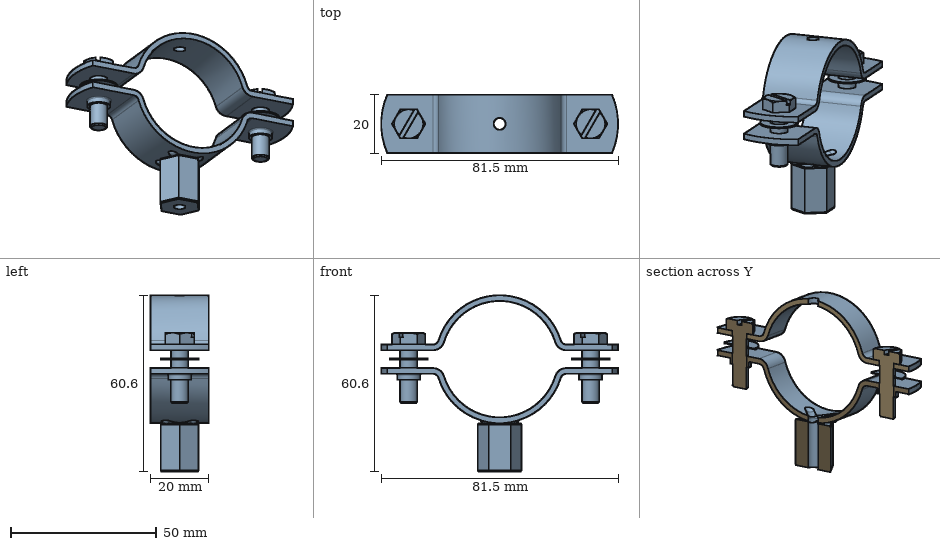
import cadquery as cq
import math


total_length = 81.5
strap_width = 20.0
strap_thickness = 2.0
ring_outer_radius = 22.0
ring_inner_radius = ring_outer_radius - strap_thickness
ear_gap = 6.0
ear_inner_z = ear_gap / 2
ear_outer_z = ear_inner_z + strap_thickness
ear_tip_radius = 25.0
bend_small_radius = 2.0
bend_large_radius = bend_small_radius + strap_thickness
center_hole_diameter = 4.0

collar_diameter = 8.0
collar_height = 2.0
collar_root_fillet = 0.3

emboss_arm_length = 6.8
emboss_width = 3.1
emboss_depth = 0.8
emboss_radius = ((emboss_width / 2) ** 2 + emboss_depth**2) / (2 * emboss_depth)
emboss_arm_angles = (45, 135, 225, 315)

bolt_spacing = 62.5
shank_diameter = 6.0
shank_tip_z = -15.1
shank_tip_chamfer = 0.5
head_height = 4.0
head_across_flats = 9.9
head_chamfer_angle = 30.0
screw_slot_width = 1.55
screw_slot_depth = 1.5
screw_slot_angle = 60.0

washer_diameter = 13.0
washer_thickness = 0.5

nut_across_flats = 13.0
nut_height = 16.6
nut_chamfer_height = 0.5
nut_chamfer_inset = 0.25

bolt_positions = (-bolt_spacing / 2, bolt_spacing / 2)


def hexagon_diameter(across_flats):
    """Corner-to-corner size of a hexagon with the given width across flats."""
    return across_flats / math.cos(math.radians(30))


def cylinder(diameter, bottom_z, top_z, x=0):
    """Upright cylinder centered at position x on the X axis."""
    return cq.Workplane("XY", origin=(x, 0, bottom_z)).circle(diameter / 2).extrude(top_z - bottom_z)


def strap_profile():
    """Outline of the upper half clamp: half ring, reverse bends and flat ears."""
    bend_center_z = ear_outer_z + bend_small_radius
    bend_center_distance = ring_outer_radius + bend_small_radius
    bend_center_x = math.sqrt(bend_center_distance**2 - bend_center_z**2)
    joint_angle = math.atan2(bend_center_z, bend_center_x)
    bend_middle_angle = (joint_angle + math.pi / 2) / 2
    tip_x = total_length / 2

    def on_ring(radius):
        return radius * math.cos(joint_angle), radius * math.sin(joint_angle)

    def on_bend(radius):
        return (
            bend_center_x - radius * math.cos(bend_middle_angle),
            bend_center_z - radius * math.sin(bend_middle_angle),
        )

    def mirrored(point):
        return -point[0], point[1]

    outer_joint = on_ring(ring_outer_radius)
    inner_joint = on_ring(ring_inner_radius)
    outer_bend = on_bend(bend_small_radius)
    inner_bend = on_bend(bend_large_radius)

    return (
        cq.Workplane("XZ")
        .moveTo(-tip_x, ear_outer_z)
        .lineTo(-bend_center_x, ear_outer_z)
        .threePointArc(mirrored(outer_bend), mirrored(outer_joint))
        .threePointArc((0, ring_outer_radius), outer_joint)
        .threePointArc(outer_bend, (bend_center_x, ear_outer_z))
        .lineTo(tip_x, ear_outer_z)
        .lineTo(tip_x, ear_inner_z)
        .lineTo(bend_center_x, ear_inner_z)
        .threePointArc(inner_bend, inner_joint)
        .threePointArc((0, ring_inner_radius), mirrored(inner_joint))
        .threePointArc(mirrored(inner_bend), (-bend_center_x, ear_inner_z))
        .lineTo(-tip_x, ear_inner_z)
        .close()
    )


def strap_plan():
    """Outline of a strap seen along Z: straight sides and arc-shaped ear tips."""
    tip_x = total_length / 2
    half_width = strap_width / 2
    corner_x = tip_x - ear_tip_radius + math.sqrt(ear_tip_radius**2 - half_width**2)
    return (
        cq.Workplane("XY")
        .moveTo(-corner_x, -half_width)
        .lineTo(corner_x, -half_width)
        .threePointArc((tip_x, 0), (corner_x, half_width))
        .lineTo(-corner_x, half_width)
        .threePointArc((-tip_x, 0), (-corner_x, -half_width))
        .close()
    )


def make_plain_strap():
    """Half clamp above the split plane, with rounded ear tips and a center hole."""
    strap = strap_profile().extrude(strap_width, both=True)
    strap = strap.intersect(strap_plan().extrude(ring_outer_radius))
    return strap.cut(cylinder(center_hole_diameter, 0, ring_outer_radius))


def cut_bolt_holes(strap):
    """Bolt holes matching the shanks, through both ears."""
    for x in bolt_positions:
        strap = strap.cut(cylinder(shank_diameter, -ring_outer_radius, ring_outer_radius, x))
    return strap


def make_emboss_cross(surface_radius):
    """Four round bars that sink by the emboss depth below a ring surface of the given radius."""
    axis_lift = emboss_radius - emboss_depth
    cross = cq.Workplane("XY")
    for angle in emboss_arm_angles:
        tip_x = emboss_arm_length * math.cos(math.radians(angle))
        tip_y = emboss_arm_length * math.sin(math.radians(angle))
        start = cq.Vector(0, 0, axis_lift - surface_radius)
        tip = cq.Vector(tip_x, tip_y, axis_lift - math.sqrt(surface_radius**2 - tip_x**2))
        axis = tip - start
        bar = cq.Solid.makeCylinder(emboss_radius, axis.Length, start, axis)
        ball = cq.Workplane("XY").sphere(emboss_radius).translate(tip)
        cross = cross.union(cq.Workplane(bar)).union(ball)
    return cross


def make_emboss_bosses():
    """Part of the embossed cross that stands out below the ring."""
    sheet_middle_radius = ring_outer_radius - strap_thickness / 2
    inside = cq.Workplane("XZ").circle(sheet_middle_radius).extrude(strap_width, both=True)
    return make_emboss_cross(ring_outer_radius).cut(inside)


def make_upper_strap():
    """Plain half clamp that carries the bolt heads."""
    return cut_bolt_holes(make_plain_strap())


def make_lower_strap():
    """Half clamp with a collar under each ear and the embossed cross at its lowest point."""
    strap = make_plain_strap().mirror("XY")
    for x in bolt_positions:
        collar_bottom_z = -ear_outer_z - collar_height
        strap = strap.union(cylinder(collar_diameter, collar_bottom_z, -ear_outer_z, x))
        collar_root = cq.selectors.BoxSelector(
            (x - collar_diameter, -collar_diameter, -ear_outer_z - collar_root_fillet),
            (x + collar_diameter, collar_diameter, -ear_outer_z + collar_root_fillet),
        )
        strap = strap.edges(collar_root).edges("%CIRCLE").fillet(collar_root_fillet)
    strap = strap.union(make_emboss_bosses()).cut(make_emboss_cross(ring_inner_radius))
    strap = strap.cut(cylinder(center_hole_diameter, -ring_outer_radius - 2 * emboss_depth, 0))
    return cut_bolt_holes(strap)


def make_bolt(x):
    """Slotted hexagon head bolt seated on the upper ear."""
    head_top_z = ear_outer_z + head_height
    corner_diameter = hexagon_diameter(head_across_flats)
    head = (
        cq.Workplane("XY", origin=(0, 0, ear_outer_z))
        .polygon(6, corner_diameter)
        .extrude(head_height)
    )

    chamfer_width = (corner_diameter - head_across_flats) / 2
    chamfer_height = chamfer_width * math.tan(math.radians(head_chamfer_angle))
    chamfer_cone = (
        cylinder(corner_diameter, ear_outer_z, head_top_z)
        .faces(">Z")
        .edges()
        .chamfer(chamfer_height, chamfer_width)
    )
    head = head.intersect(chamfer_cone)

    screw_slot = (
        cq.Workplane("XY")
        .box(corner_diameter * 2, screw_slot_width, screw_slot_depth, centered=(True, True, False))
        .rotate((0, 0, 0), (0, 0, 1), screw_slot_angle)
        .translate((0, 0, head_top_z - screw_slot_depth))
    )
    shank = (
        cylinder(shank_diameter, shank_tip_z, ear_outer_z)
        .faces("<Z")
        .edges()
        .chamfer(shank_tip_chamfer)
    )
    return head.cut(screw_slot).union(shank).translate((x, 0, 0))


def make_washer(x):
    """Thin disc fitted around the shank."""
    half_thickness = washer_thickness / 2
    disc = cylinder(washer_diameter, -half_thickness, half_thickness, x)
    return disc.cut(cylinder(shank_diameter, -half_thickness, half_thickness, x))


def make_nut(lower_strap):
    """Hexagonal nut below the ring, recessed where the embossed cross sinks into it."""
    nut_top_z = -ring_outer_radius
    nut_bottom_z = nut_top_z - nut_height
    nut = (
        cq.Workplane("XY", origin=(0, 0, nut_bottom_z))
        .polygon(6, hexagon_diameter(nut_across_flats))
        .extrude(nut_height)
        .faces("<Z or >Z")
        .edges()
        .chamfer(nut_chamfer_height, nut_chamfer_inset)
    )
    nut = nut.cut(cylinder(center_hole_diameter, nut_bottom_z, nut_top_z))
    return nut.cut(lower_strap)


upper_strap = make_upper_strap()
lower_strap = make_lower_strap()
nut = make_nut(lower_strap)
bolts = [make_bolt(x) for x in bolt_positions]
washers = [make_washer(x) for x in bolt_positions]

result = cq.Compound.makeCompound(
    [
        upper_strap.val(),
        lower_strap.val(),
        nut.val(),
        *[bolt.val() for bolt in bolts],
        *[washer.val() for washer in washers],
    ]
)